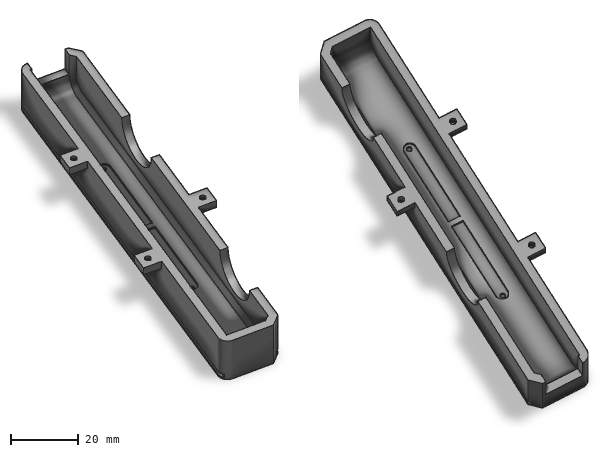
import cadquery as cq

LENGTH = 131.2
WIDTH = 20.2
OVERALL_WIDTH = 32.4
HEIGHT = 16.3
WALL = 2.8
FLOOR = 2.9
FRONT_CORNER_RADIUS = 3.3
REAR_CORNER_CHAMFER = 3.1

CAVITY_CHAMFER = 1.6
END_RADIUS = 5.2

OPENING_DEPTH = 8.3

NOTCH_RADIUS = 9.5
NOTCH_X = (-22.8, 40.0)

TAB_WIDTH = 6.0
TAB_LENGTH = (OVERALL_WIDTH - WIDTH) / 2
TAB_THICKNESS = 2.9
TAB_HOLE = 2.0
FRONT_TAB_X = (-23.9, 23.5)
REAR_TAB_X = 8.5

GROOVE_DEPTH = 1.0
GROOVE_HEIGHT = 1.2
GROOVE_Z = 0.8

SLOT_WIDTH = 4.0
SLOT_DEPTH = 0.8
SLOT_Y = -0.8
SLOT_GAP = 1.7
SLOT_END_X = 29.7
PIN_HOLE = 1.6
PIN_HOLE_X = 28.1
PIN_HOLE_DEPTH = 1.6

front_y = -WIDTH / 2
rear_y = WIDTH / 2
cavity_length = LENGTH - 2 * WALL
cavity_front = front_y + WALL
cavity_rear = rear_y - WALL


def box(x_min, x_max, y_min, y_max, z_min, z_max):
    block = cq.Workplane("XY").box(x_max - x_min, y_max - y_min, z_max - z_min, centered=False)
    return block.translate((x_min, y_min, z_min))


def make_body():
    body = cq.Workplane("XY").box(LENGTH, WIDTH, HEIGHT, centered=(True, True, False))
    return body.edges("|Z and <Y").fillet(FRONT_CORNER_RADIUS).edges("|Z and >Y").chamfer(REAR_CORNER_CHAMFER)


def make_cavity():
    cavity = box(-cavity_length / 2, cavity_length / 2, cavity_front, cavity_rear, FLOOR, HEIGHT)
    cavity = cavity.edges("|Y and <Z").fillet(END_RADIUS)
    return cavity.faces(">Y").edges("not >Z").chamfer(CAVITY_CHAMFER)


def make_end_opening():
    return box(
        -LENGTH / 2, -LENGTH / 2 + WALL,
        front_y + FRONT_CORNER_RADIUS, cavity_rear - CAVITY_CHAMFER,
        HEIGHT - OPENING_DEPTH, HEIGHT,
    )


def make_notch(x):
    return cq.Workplane("XZ", origin=(x, rear_y, HEIGHT)).circle(NOTCH_RADIUS).extrude(WALL)


def make_tab(x, side):
    tab_y = side * (WIDTH + TAB_LENGTH) / 2
    tab = cq.Workplane("XY", origin=(x, tab_y, HEIGHT - TAB_THICKNESS))
    return tab.rect(TAB_WIDTH, TAB_LENGTH).circle(TAB_HOLE / 2).extrude(TAB_THICKNESS)


def make_groove(y_min):
    return box(
        -LENGTH / 2, LENGTH / 2, y_min, y_min + GROOVE_DEPTH, GROOVE_Z, GROOVE_Z + GROOVE_HEIGHT
    )


def make_slot(side):
    round_x = SLOT_END_X - SLOT_WIDTH / 2
    slot = (
        cq.Workplane("XY", origin=(0, SLOT_Y, FLOOR - SLOT_DEPTH))
        .moveTo(side * SLOT_GAP / 2, -SLOT_WIDTH / 2)
        .lineTo(side * round_x, -SLOT_WIDTH / 2)
        .threePointArc((side * SLOT_END_X, 0), (side * round_x, SLOT_WIDTH / 2))
        .lineTo(side * SLOT_GAP / 2, SLOT_WIDTH / 2)
        .close()
        .extrude(SLOT_DEPTH)
    )
    hole = cq.Workplane("XY", origin=(side * PIN_HOLE_X, SLOT_Y, FLOOR - PIN_HOLE_DEPTH))
    return slot.union(hole.circle(PIN_HOLE / 2).extrude(PIN_HOLE_DEPTH))


result = make_body().cut(make_cavity()).cut(make_end_opening())
for notch_x in NOTCH_X:
    result = result.cut(make_notch(notch_x))
for groove_y in (front_y, rear_y - GROOVE_DEPTH):
    result = result.cut(make_groove(groove_y))
for slot_side in (-1, 1):
    result = result.cut(make_slot(slot_side))
for tab_x in FRONT_TAB_X:
    result = result.union(make_tab(tab_x, -1))
result = result.union(make_tab(REAR_TAB_X, 1))